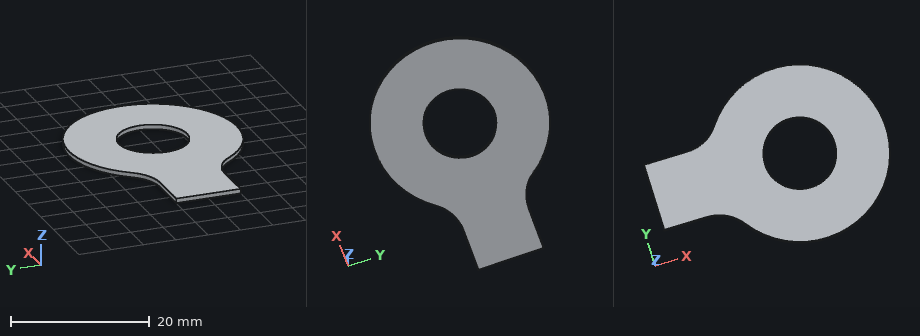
import cadquery as cq
import math

overall_length = 34.95
disc_diameter = 26.0
hole_diameter = 10.5
tab_width = 10.0
neck_radius = 6.0
thickness = 0.75

disc_radius = disc_diameter / 2
half_tab = tab_width / 2
tab_end_x = disc_radius - overall_length

neck_center_y = half_tab + neck_radius
center_distance = disc_radius + neck_radius
neck_center_x = -math.sqrt(center_distance**2 - neck_center_y**2)
disc_share = disc_radius / center_distance
join_x = neck_center_x * disc_share
join_y = neck_center_y * disc_share

join_angle = math.atan2(-neck_center_y, -neck_center_x)
middle_angle = (join_angle - math.pi / 2) / 2
neck_middle_x = neck_center_x + neck_radius * math.cos(middle_angle)
neck_middle_y = neck_center_y + neck_radius * math.sin(middle_angle)

plate = (
    cq.Workplane("XY")
    .moveTo(tab_end_x, -half_tab)
    .lineTo(neck_center_x, -half_tab)
    .threePointArc((neck_middle_x, -neck_middle_y), (join_x, -join_y))
    .threePointArc((disc_radius, 0), (join_x, join_y))
    .threePointArc((neck_middle_x, neck_middle_y), (neck_center_x, half_tab))
    .lineTo(tab_end_x, half_tab)
    .close()
    .extrude(thickness)
)

result = plate.faces(">Z").workplane(origin=(0, 0, thickness)).hole(hole_diameter)